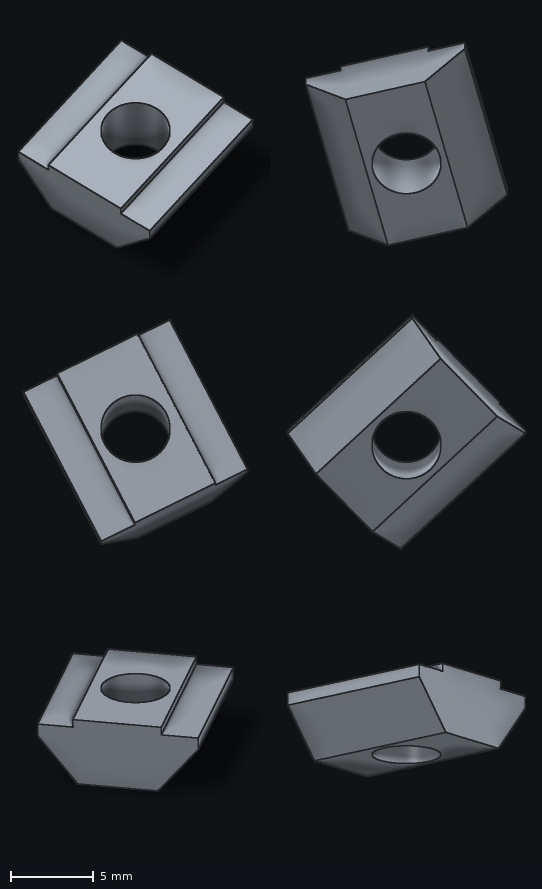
import cadquery as cq

length = 10.5
width = 10.0
height = 4.3
rib_width = 5.5
rib_offset = 0.05
rib_height = 0.5
side_height = 0.8
base_width = 5.0
hole_diameter = 4.2

shoulder_z = height - rib_height
taper_top_z = shoulder_z - side_height

half_profile = (
    cq.Workplane("XZ")
    .lineTo(base_width / 2, 0)
    .lineTo(width / 2, taper_top_z)
    .lineTo(width / 2, shoulder_z)
    .lineTo(0, shoulder_z)
)
body = half_profile.mirrorY().extrude(length / 2, both=True)

rib = (
    cq.Workplane("XY", origin=(rib_offset, 0, shoulder_z))
    .rect(rib_width, length)
    .extrude(rib_height)
)

hole = cq.Workplane("XY").circle(hole_diameter / 2).extrude(height)

result = body.union(rib).cut(hole)